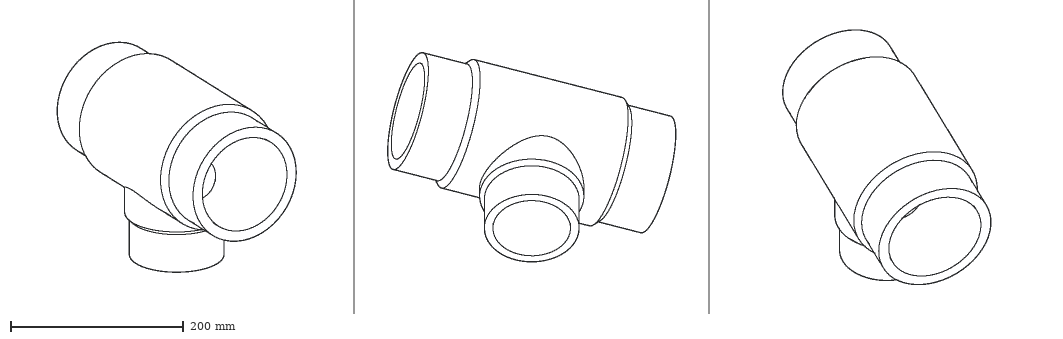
import cadquery as cq

run_length = 305.0
run_diameter = 140.0
run_bore = 114.7
sleeve_diameter = 154.0
sleeve_length = 196.5
sleeve_chamfer = (sleeve_diameter - run_diameter) / 2

overall_height = 218.0
branch_diameter = 110.0
branch_bore = 90.0
collar_diameter = 121.0
spigot_length = 47.3
collar_chamfer = (collar_diameter - branch_diameter) / 2

branch_reach = overall_height - sleeve_diameter / 2
collar_reach = branch_reach - spigot_length


def run_cylinder(diameter, length):
    """Cylinder along X, centred on the origin."""
    start = cq.Workplane("YZ").workplane(offset=-length / 2)
    return start.circle(diameter / 2).extrude(length)


def branch_cylinder(diameter, reach):
    """Cylinder from the run axis down to the given reach."""
    return cq.Workplane("XY").circle(diameter / 2).extrude(-reach)


sleeve = run_cylinder(sleeve_diameter, sleeve_length).edges("%CIRCLE").chamfer(sleeve_chamfer)
run = run_cylinder(run_diameter, run_length).union(sleeve)

collar = branch_cylinder(collar_diameter, collar_reach).faces("<Z").edges().chamfer(collar_chamfer)
branch = branch_cylinder(branch_diameter, branch_reach).union(collar)

result = (
    run.union(branch)
    .cut(run_cylinder(run_bore, run_length))
    .cut(branch_cylinder(branch_bore, branch_reach))
)